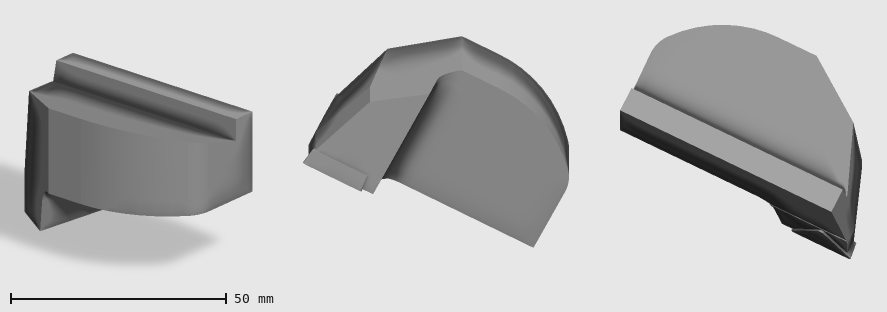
import cadquery as cq
import math


LENGTH = 59.9
DEPTH = 32.2
HEIGHT = 36.85

INSERT_CIRCLE = 9.5
INSERT_CORNER = 0.8
INSERT_THICKNESS = 3.95
INSERT_RELIEF = 7.0

BACK_Y = -0.7
PAD_Y = -0.55
PAD_TOP = 13.9
WALL_FRONT_Y = -6.65
WALL_TOP = 35.5

LEFT_X = 1.15
LEFT_CORNER_Y = -3.95
CHAMFER_X = 7.0
CHAMFER_Y = -20.05
FRONT_LEFT_X = 24.7
FRONT_RIGHT_X = 34.55
NOSE_RADIUS = 31.15
END_RADIUS = 7.8

BEND_Z = 11.8
LEAN_ANGLE = 10.0
CHAMFER_LEAN_ANGLE = 6.0
TOP_ANGLE = 15.0
BOTTOM_ANGLE = 5.0
LEG_BOTTOM = 0.55
LEG_RIGHT_X = 18.0
HEAD_BOTTOM = 15.45
LEG_FILLET = 5.0
CLEARANCE = 6.0


def tangent(angle):
    return math.tan(math.radians(angle))


def make_insert():
    """Triangle with rounded corners, its flanks tapering away from the exposed face."""
    inradius = INSERT_CIRCLE / 2
    half_side = inradius * math.sqrt(3)
    center_x = half_side - INSERT_CORNER * (math.sqrt(3) - 1)
    corners = [
        (center_x - half_side, 0),
        (center_x + half_side, 0),
        (center_x, 3 * inradius),
    ]
    triangle = cq.Workplane("XZ").polyline(corners).close().wire().val()
    rounded = triangle.fillet2D(INSERT_CORNER, triangle.Vertices())
    return cq.Workplane("XZ").add(rounded).toPending().extrude(INSERT_THICKNESS, taper=INSERT_RELIEF)


def plan_prism():
    """Full-height prism with the plan outline of the holder."""
    nose_y = NOSE_RADIUS - DEPTH
    end_x = LENGTH - END_RADIUS
    center_distance = NOSE_RADIUS - END_RADIUS
    joint_angle = math.acos((end_x - FRONT_RIGHT_X) / center_distance)
    end_y = nose_y - center_distance * math.sin(joint_angle)

    def on_arc(x, y, radius, angle):
        return (x + radius * math.cos(angle), y - radius * math.sin(angle))

    nose_middle = on_arc(FRONT_RIGHT_X, nose_y, NOSE_RADIUS, (math.pi / 2 + joint_angle) / 2)
    joint = on_arc(end_x, end_y, END_RADIUS, joint_angle)
    end_middle = on_arc(end_x, end_y, END_RADIUS, joint_angle / 2)
    return (
        cq.Workplane("XY")
        .moveTo(LEFT_X, PAD_Y)
        .lineTo(LEFT_X, LEFT_CORNER_Y)
        .lineTo(CHAMFER_X, CHAMFER_Y)
        .lineTo(FRONT_LEFT_X, -DEPTH)
        .lineTo(FRONT_RIGHT_X, -DEPTH)
        .threePointArc(nose_middle, joint)
        .threePointArc(end_middle, (LENGTH, end_y))
        .lineTo(LENGTH, PAD_Y)
        .close()
        .extrude(HEIGHT)
    )


def side_prism():
    """Side profile: wall, sloped top, sloped bottom and stepped back."""
    wall_foot = HEIGHT - (DEPTH + WALL_FRONT_Y) * tangent(TOP_ANGLE)
    front_bottom = LEG_BOTTOM + (DEPTH + PAD_Y) * tangent(BOTTOM_ANGLE)
    profile = [
        (PAD_Y, LEG_BOTTOM),
        (PAD_Y, PAD_TOP),
        (BACK_Y, PAD_TOP),
        (BACK_Y, WALL_TOP),
        (WALL_FRONT_Y, WALL_TOP),
        (WALL_FRONT_Y, wall_foot),
        (-DEPTH, HEIGHT),
        (-DEPTH, front_bottom),
    ]
    return cq.Workplane("YZ").polyline(profile).close().extrude(LENGTH)


def space_under_head():
    """Space to the right of the leg, rounded where the leg meets the head."""
    lean = tangent(LEAN_ANGLE)
    root_x = LEG_RIGHT_X + (HEAD_BOTTOM - LEG_BOTTOM) * lean
    foot_x = LEG_RIGHT_X - (LEG_BOTTOM + CLEARANCE) * lean
    profile = [
        (foot_x, -CLEARANCE),
        (root_x, HEAD_BOTTOM),
        (LENGTH + CLEARANCE, HEAD_BOTTOM),
        (LENGTH + CLEARANCE, -CLEARANCE),
    ]
    space = cq.Workplane("XZ").polyline(profile).close().extrude(DEPTH + CLEARANCE)
    root = cq.selectors.NearestToPointSelector((root_x, -(DEPTH + CLEARANCE) / 2, HEAD_BOTTOM))
    return space.edges(root).fillet(LEG_FILLET)


def leaning_cutter(x, y, inward_x, inward_y, angle):
    """Block outside a plane that leans inwards from BEND_Z about a line in plan."""
    plane = cq.Plane(
        origin=(x, y, BEND_Z), xDir=(inward_x, inward_y, 0), normal=(inward_y, -inward_x, 0)
    )
    rise = HEIGHT - BEND_Z + CLEARANCE
    section = [(0, 0), (rise * tangent(angle), rise), (-LENGTH, rise), (-LENGTH, 0)]
    return cq.Workplane(plane).polyline(section).close().extrude(LENGTH, both=True)


def make_holder(insert):
    body = plan_prism().intersect(side_prism()).cut(space_under_head())

    body = body.cut(leaning_cutter(LEFT_X, LEFT_CORNER_Y, 1, 0, LEAN_ANGLE))

    run_x = CHAMFER_X - LEFT_X
    run_y = LEFT_CORNER_Y - CHAMFER_Y
    body = body.cut(leaning_cutter(LEFT_X, LEFT_CORNER_Y, run_y, run_x, CHAMFER_LEAN_ANGLE))

    return body.cut(insert)


insert = make_insert()
holder = make_holder(insert)
result = cq.Compound.makeCompound([holder.val(), insert.val()])